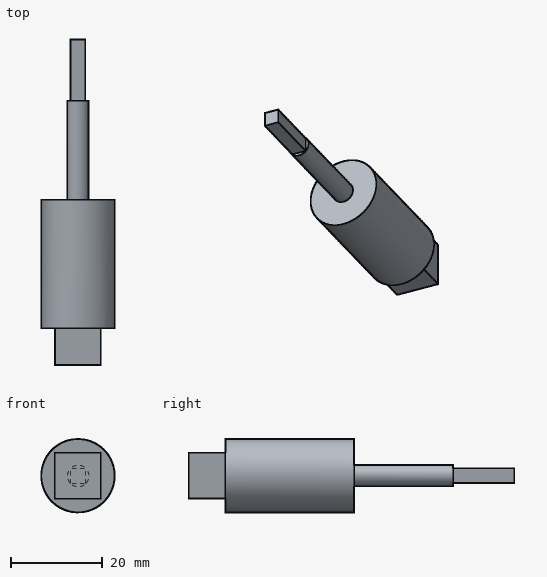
import cadquery as cq

total_length = 70.9
head_side = 10.0
head_length = 8.0
body_diameter = 16.0
body_length = 28.0
shank_diameter = 4.7
tip_side = 3.25
tip_length = 13.3
shank_length = total_length - head_length - body_length - tip_length

head_start = -total_length / 2
body_start = head_start + head_length
shank_start = body_start + body_length
tip_start = shank_start + shank_length


def section_plane(y_start):
    """Plane across the axis at y_start, extruding toward +Y."""
    return cq.Workplane(cq.Plane(origin=(0, y_start, 0), xDir=(1, 0, 0), normal=(0, 1, 0)))


def square_bar(side, y_start, length):
    return section_plane(y_start).rect(side, side).extrude(length)


def round_bar(diameter, y_start, length):
    return section_plane(y_start).circle(diameter / 2).extrude(length)


head = square_bar(head_side, head_start, head_length)
body = round_bar(body_diameter, body_start, body_length)
shank = round_bar(shank_diameter, shank_start, shank_length)
tip = square_bar(tip_side, tip_start, tip_length)

result = head.union(body).union(shank).union(tip)